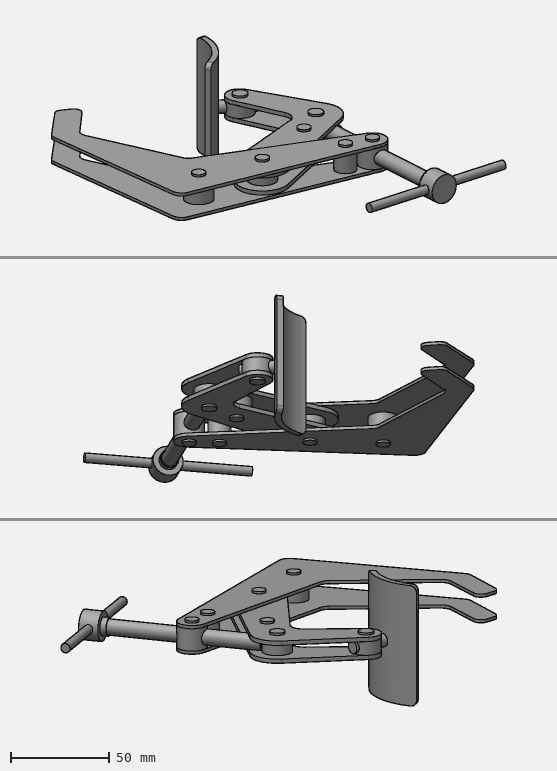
import cadquery as cq
import math


ARM_INNER = 3.6
ARM_THICKNESS = 2.3
FRAME_THICKNESS = 1.7
PIN_STANDOUT = 1.2
FRAME_INNER = ARM_INNER + ARM_THICKNESS
FRAME_OUTER = FRAME_INNER + FRAME_THICKNESS
FRAME_PIN_END = FRAME_OUTER + PIN_STANDOUT
ARM_PIN_END = FRAME_INNER + PIN_STANDOUT

OVERALL_LENGTH = 191.7

PIVOT = (0, 0)
NUT = (18.0, 58.9)
FRAME_UPPER_SPACER = (14.2, 43.9)
FRAME_LOWER_SPACER = (-7.5, -36.6)
PAD_PIN = (-71.1, 47.7)
SWIVEL = (-28.0, 61.2)
ARM_SPACER = (-17.5, 43.7)

PIN_RADIUS = 3.6
TRUNNION_PIN_RADIUS = 4.0
BARREL_RADIUS = 7.9
SLIM_SPACER_RADIUS = 6.0

ARM_TAIL_RADIUS = 14.4
ARM_ELBOW_RADIUS = 14.0
JAW_TIP = (-110.6, -37.5)
JAW_TIP_RADIUS = 4.2
ARM_OUTLINE = [
    (PIVOT, ARM_TAIL_RADIUS),
    (SWIVEL, ARM_ELBOW_RADIUS),
    (PAD_PIN, BARREL_RADIUS),
    ((-37.0, 43.5), -7.0),
]
FRAME_OUTLINE = [
    ((0.2, -55.0), 6.0),
    (NUT, BARREL_RADIUS),
    ((-30.0, -23.8), -5.4),
    ((-84.0, -41.6), -6.1),
    ((-108.1, -32.5), JAW_TIP_RADIUS),
    (JAW_TIP, JAW_TIP_RADIUS),
    ((-90.9, -55.2), 5.8),
]

PAD_HEIGHT = 64.0
PAD_INNER_RADIUS = 30.7
PAD_THICKNESS = 3.5
PAD_START_ANGLE = 20.4
PAD_END_ANGLE = 90.0
PAD_CORNER_RADIUS = 3.0
PAD_AXIS_DISTANCE = 45.2
STUB_RADIUS = 3.5
STUB_END = 8.8

SCREW_RADIUS = 4.2
TIP_RADIUS = 2.7
COLLAR_RADIUS = 4.8
COLLAR_LENGTH = 3.3
KNOB_RADIUS = 7.9
KNOB_START = 94.1
BAR_RADIUS = 2.5
BAR_LENGTH = 87.2
BAR_OFFSET = -1.2
SCREW_ANGLE = math.atan2(NUT[1] - SWIVEL[1], NUT[0] - SWIVEL[0])
KNOB_CORNER_X = JAW_TIP[0] - JAW_TIP_RADIUS + OVERALL_LENGTH
KNOB_RIM_LEAD = KNOB_RADIUS * abs(math.sin(SCREW_ANGLE))
KNOB_END = (KNOB_CORNER_X - KNOB_RIM_LEAD - SWIVEL[0]) / math.cos(SCREW_ANGLE)


def polar(start, distance, angle):
    """The point at a distance and angle (radians) from a start point."""
    return (start[0] + distance * math.cos(angle), start[1] + distance * math.sin(angle))


def tangent_angle(first, second):
    """Direction from each centre to its contact with the line that touches both belt circles."""
    (x1, y1), r1 = first
    (x2, y2), r2 = second
    distance = math.hypot(x2 - x1, y2 - y1)
    return math.atan2(y2 - y1, x2 - x1) - math.acos((r1 - r2) / distance)


def belt(circles):
    """Closed outline of tangent lines and arcs around the circles."""
    angles = [tangent_angle(circles[i - 1], circles[i]) for i in range(len(circles))]
    start = polar(*circles[-1], angles[0])
    outline = cq.Workplane("XY").moveTo(*start)
    for i, circle in enumerate(circles):
        entry = angles[i]
        leave = angles[(i + 1) % len(circles)]
        side = math.copysign(1, circle[1])
        turn = side * (side * (leave - entry) % (2 * math.pi))
        outline = outline.lineTo(*polar(*circle, entry))
        outline = outline.threePointArc(polar(*circle, entry + turn / 2), polar(*circle, leave))
    return outline.close()


def plate_pair(circles, inner, thickness):
    """Two equal plates, one above and one below the middle plane."""
    upper = belt(circles).extrude(thickness).translate((0, 0, inner))
    return upper.union(upper.mirror("XY"))


def post(center, radius, half_height):
    """Upright cylinder centred on the middle plane."""
    base = cq.Workplane("XY", origin=(*center, -half_height))
    return base.circle(radius).extrude(2 * half_height)


def stepped_pin(center, barrel_radius, barrel_half, pin_radius, pin_half):
    """Barrel between two plates, with a thinner pin that runs out through them."""
    return post(center, barrel_radius, barrel_half).union(post(center, pin_radius, pin_half))


def rod(start, angle, radius, length):
    """Cylinder lying in the middle plane along the given direction."""
    direction = cq.Vector(math.cos(angle), math.sin(angle), 0)
    return cq.Workplane(cq.Solid.makeCylinder(radius, length, cq.Vector(*start, 0), direction))


def along_screw(start, end, radius):
    """Length of the screw between two distances from the swivel pin."""
    return rod(polar(SWIVEL, start, SCREW_ANGLE), SCREW_ANGLE, radius, end - start)


def make_frame():
    """Two outer plates joined by two fixed spacers, with holes for the pivot and nut pins."""
    frame = plate_pair(FRAME_OUTLINE, FRAME_INNER, FRAME_THICKNESS)
    for center in (PIVOT, NUT):
        frame = frame.cut(post(center, PIN_RADIUS, FRAME_OUTER))
    spacers = [(FRAME_LOWER_SPACER, BARREL_RADIUS), (FRAME_UPPER_SPACER, SLIM_SPACER_RADIUS)]
    for center, radius in spacers:
        frame = frame.union(stepped_pin(center, radius, FRAME_INNER, PIN_RADIUS, FRAME_PIN_END))
    return frame


def make_arm():
    """Two inner plates joined by a spacer and by the pivot pin that turns in the frame."""
    arm = plate_pair(ARM_OUTLINE, ARM_INNER, ARM_THICKNESS)
    for center in (PAD_PIN, SWIVEL):
        arm = arm.cut(post(center, TRUNNION_PIN_RADIUS, FRAME_INNER))
    arm = arm.cut(along_screw(BARREL_RADIUS, KNOB_START, SCREW_RADIUS))
    for center, pin_end in [(PIVOT, FRAME_PIN_END), (ARM_SPACER, ARM_PIN_END)]:
        arm = arm.union(stepped_pin(center, BARREL_RADIUS, ARM_INNER, PIN_RADIUS, pin_end))
    return arm


def make_pad():
    """Curved pad with a stub that carries the pad's pivot pin."""
    start = math.radians(PAD_START_ANGLE)
    end = math.radians(PAD_END_ANGLE)
    middle = (start + end) / 2
    axis = polar(PAD_PIN, -PAD_AXIS_DISTANCE, middle)
    outer_radius = PAD_INNER_RADIUS + PAD_THICKNESS
    shell = (
        cq.Workplane("XY", origin=(0, 0, -PAD_HEIGHT / 2))
        .moveTo(*polar(axis, PAD_INNER_RADIUS, start))
        .lineTo(*polar(axis, outer_radius, start))
        .threePointArc(polar(axis, outer_radius, middle), polar(axis, outer_radius, end))
        .lineTo(*polar(axis, PAD_INNER_RADIUS, end))
        .threePointArc(polar(axis, PAD_INNER_RADIUS, middle), polar(axis, PAD_INNER_RADIUS, start))
        .close()
        .extrude(PAD_HEIGHT)
    )
    shell = shell.edges("<Z or >Z").edges("%LINE").fillet(PAD_CORNER_RADIUS)

    stub_start = PAD_INNER_RADIUS + PAD_THICKNESS / 2
    stub_length = PAD_AXIS_DISTANCE + STUB_END - stub_start
    stub = rod(polar(axis, stub_start, middle), middle, STUB_RADIUS, stub_length)
    trunnion = stepped_pin(PAD_PIN, BARREL_RADIUS, ARM_INNER, TRUNNION_PIN_RADIUS, ARM_PIN_END)
    return shell.union(stub).union(trunnion)


def make_nut():
    """Cross-drilled barrel that turns in the frame and takes the screw."""
    nut = stepped_pin(NUT, BARREL_RADIUS, FRAME_INNER, PIN_RADIUS, FRAME_PIN_END)
    return nut.cut(along_screw(BARREL_RADIUS, KNOB_START, SCREW_RADIUS))


def make_swivel():
    """Barrel that turns in the arm, with a blind hole for the screw tip."""
    swivel = stepped_pin(SWIVEL, BARREL_RADIUS, ARM_INNER, TRUNNION_PIN_RADIUS, ARM_PIN_END)
    return swivel.cut(along_screw(0, BARREL_RADIUS, TIP_RADIUS))


def make_screw():
    """Screw with its tip, shaft, collar, knob and cross bar."""
    screw = along_screw(0, BARREL_RADIUS, TIP_RADIUS)
    screw = screw.union(along_screw(BARREL_RADIUS, KNOB_START, SCREW_RADIUS))
    screw = screw.union(along_screw(KNOB_START - COLLAR_LENGTH, KNOB_START, COLLAR_RADIUS))
    screw = screw.union(along_screw(KNOB_START, KNOB_END, KNOB_RADIUS))
    bar_angle = SCREW_ANGLE + math.pi / 2
    knob_middle = polar(SWIVEL, (KNOB_START + KNOB_END) / 2, SCREW_ANGLE)
    bar_start = polar(knob_middle, BAR_OFFSET - BAR_LENGTH / 2, bar_angle)
    return screw.union(rod(bar_start, bar_angle, BAR_RADIUS, BAR_LENGTH))


frame = make_frame()
arm = make_arm()
pad = make_pad()
nut = make_nut()
swivel = make_swivel()
screw = make_screw()

result = cq.Compound.makeCompound(
    [frame.val(), arm.val(), pad.val(), nut.val(), swivel.val(), screw.val()]
)